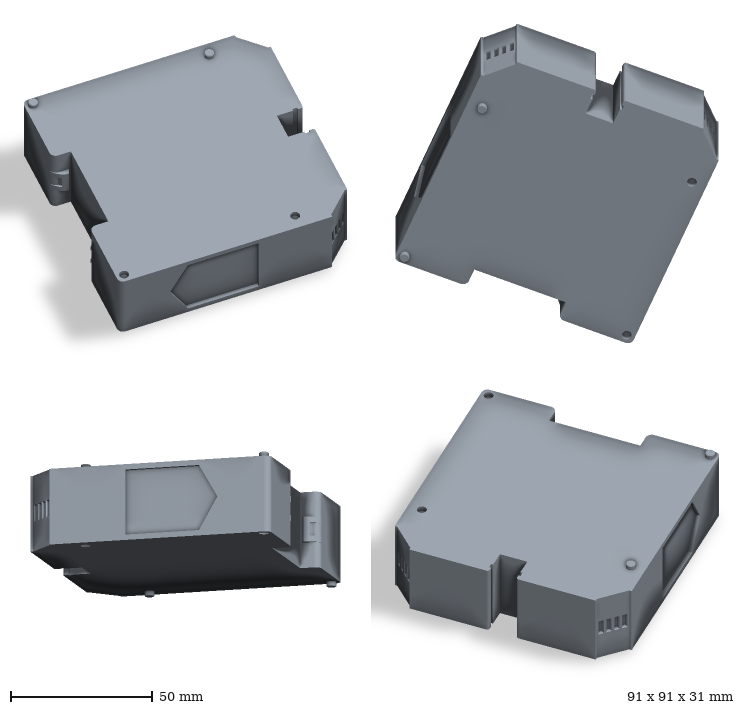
import cadquery as cq

housing_width = 91.0
housing_length = 91.0
overall_height = 31.0
pin_height = 1.8
housing_height = overall_height - 2 * pin_height

half_width = housing_width / 2
half_length = housing_length / 2
half_height = housing_height / 2

clearance = 0.5

bevel_step = 1.0
bevel_size = 8.7
bevel_edge_radius = 0.25

rail_width = 35.0
rail_depth = 7.2
front_fillet = 2.25

slot_width = 10.5
slot_depth = 10.1
slot_mouth_radius = 0.9
slot_groove_start = 2.1
slot_groove_width = 1.8
slot_groove_depth = 0.8

latch_height = 9.0
latch_reach = 2.1
latch_top_gap = 0.9
latch_nose_drop = 1.8
latch_top_bulge = (1.3, 1.2)
latch_belly = (1.2, 4.5)
latch_tail = 1.2
latch_window_height = 4.7
latch_lip = 0.6
latch_window_drop = 4.7

pin_diameter = 3.5
pin_chamfer = 0.25
socket_depth = 2.0
pin_places = [(40.1, 23.8), (42.5, -42.5)]

label_rear = 7.8
label_shoulder = -19.4
label_tip = -26.2
label_height = 23.5
label_depth = 1.5

vent_count = 4
vent_width = 2.0
vent_pitch = 3.0
vent_depth = 1.0
vent_draft = 25.0
vent_height = 6.0


def both_sides(shape):
    """The shape together with its copy turned half a turn about the Y axis."""
    return shape.union(shape.rotate((0, 0, 0), (0, 1, 0), 180))


def upright_prism(outline, height):
    """Extrude an XY outline symmetrically about the mid-plane."""
    return outline.extrude(height / 2, both=True)


def make_block():
    """Housing with bevelled rear corners, rail notch and rounded front corners."""
    bevel_end = bevel_step + bevel_size
    right_half = [
        (0, -half_length + rail_depth),
        (rail_width / 2, -half_length + rail_depth),
        (rail_width / 2, -half_length),
        (half_width, -half_length),
        (half_width, half_length - bevel_end),
        (half_width - bevel_step, half_length - bevel_end),
        (half_width - bevel_end, half_length - bevel_step),
        (half_width - bevel_end, half_length),
        (0, half_length),
    ]
    half = upright_prism(cq.Workplane("XY").polyline(right_half).close(), housing_height)
    front_corners = cq.selectors.BoxSelector(
        (rail_width / 2 - clearance, -half_length - clearance, -half_height),
        (half_width + clearance, -half_length + clearance, half_height),
    )
    half = half.edges("|Z").edges(front_corners).fillet(front_fillet)
    step_corners = cq.selectors.BoxSelector(
        (half_width - bevel_end - clearance, half_length - bevel_end - clearance, -half_height),
        (half_width + clearance, half_length + clearance, half_height),
    )
    outer_corners = half.edges("|Z").edges(step_corners).edges(">X or >Y")
    half = outer_corners.fillet(bevel_edge_radius)
    return both_sides(half)


def make_rear_slot():
    """Cutter for the grooved slot with a rounded mouth."""
    wall = slot_width / 2
    mouth = wall + slot_mouth_radius
    groove = wall + slot_groove_depth
    groove_top = half_length - slot_groove_start
    groove_bottom = groove_top - slot_groove_width
    mouth_bottom = half_length - slot_mouth_radius
    outline = (
        cq.Workplane("XY")
        .moveTo(0, half_length)
        .lineTo(mouth, half_length)
        .radiusArc((wall, mouth_bottom), -slot_mouth_radius)
        .lineTo(wall, groove_top)
        .lineTo(groove, groove_top)
        .lineTo(groove, groove_bottom)
        .lineTo(wall, groove_bottom)
        .lineTo(wall, half_length - slot_depth)
        .lineTo(0, half_length - slot_depth)
        .close()
    )
    return both_sides(upright_prism(outline, housing_height))


def make_latch():
    """Hooked latch on the left wall of the rail notch, with a window in its sloping face."""
    wall_x = -rail_width / 2
    floor_y = -half_length + rail_depth
    root_x = wall_x - latch_tail

    def place(reach, drop):
        """Point given by its distance from the notch wall and from the notch floor."""
        return (wall_x + reach, floor_y - drop)

    outline = (
        cq.Workplane("XY")
        .moveTo(root_x, floor_y - latch_top_gap)
        .lineTo(*place(0, latch_top_gap))
        .threePointArc(place(*latch_top_bulge), place(latch_reach, latch_nose_drop))
        .threePointArc(place(*latch_belly), place(-latch_tail, rail_depth))
        .close()
    )
    latch = upright_prism(outline, latch_height)

    window_reach = latch_reach - latch_lip
    window_outline = [
        place(window_reach, latch_window_drop - window_reach),
        place(window_reach, rail_depth + clearance),
        place(-latch_tail, rail_depth + clearance),
        place(-latch_tail, latch_window_drop + latch_tail),
    ]
    window = upright_prism(cq.Workplane("XY").polyline(window_outline).close(), latch_window_height)
    return latch.cut(window)


def make_pins():
    """Pins on the top face, along the left side."""
    places = [(-x, y) for x, y in pin_places]
    pins = cq.Workplane("XY").workplane(offset=half_height).pushPoints(places)
    return pins.circle(pin_diameter / 2).extrude(pin_height).faces(">Z").chamfer(pin_chamfer)


def make_sockets():
    """Blind sockets in the top face, along the right side."""
    sockets = cq.Workplane("XY").workplane(offset=half_height).pushPoints(pin_places)
    return sockets.circle(pin_diameter / 2).extrude(-socket_depth)


def make_label_recess():
    """Pointed recess in the left side."""
    half_label = label_height / 2
    outline = [
        (label_rear, half_label),
        (label_shoulder, half_label),
        (label_tip, 0),
        (label_shoulder, -half_label),
        (label_rear, -half_label),
    ]
    return cq.Workplane("YZ").workplane(offset=-half_width).polyline(outline).close().extrude(label_depth)


def make_vents():
    """Row of grooves with drafted walls, cut into the left bevel."""
    bevel_middle = bevel_step + bevel_size / 2
    face = cq.Workplane(
        cq.Plane(
            origin=(-half_width + bevel_middle, half_length - bevel_middle, 0),
            xDir=(1, 1, 0),
            normal=(-1, 1, 0),
        )
    )
    vents = face.rarray(vent_pitch, 1, vent_count, 1).rect(vent_width, vent_height)
    return vents.extrude(-vent_depth, taper=vent_draft)


result = make_block().cut(make_rear_slot())
result = result.union(both_sides(make_latch()))
result = result.union(both_sides(make_pins()))
for cutter in (make_sockets(), make_label_recess(), make_vents()):
    result = result.cut(both_sides(cutter))